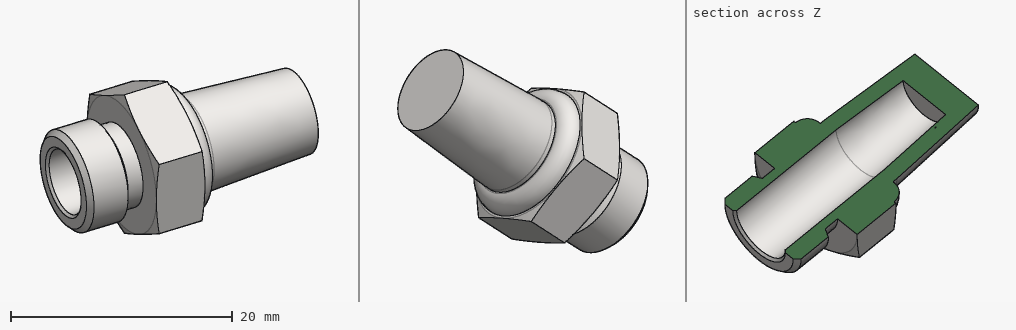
import cadquery as cq
import math

thread_end = 4.0
groove_start = 4.46
hex_start = 6.0
hex_end = 11.0
collar_end = 12.5
taper_start = 12.95
total_length = 24.0

thread_diameter = 9.7
thread_chamfer = 0.5
neck_diameter = 8.05
hex_across_flats = 13.0
hex_chamfer_angle = 16.0
collar_diameter = 12.58
spigot_diameter = 9.3
spigot_tip_diameter = 8.1

bore_diameter = 6.17
bore_mouth_diameter = 6.67
bore_depth = 21.12
bore_tip_diameter = 5.35


def revolve_profile(points):
    """Revolve a closed (radius, y) outline around the Y axis."""
    return cq.Workplane("XY").polyline(points).close().revolve(360, (0, 0, 0), (0, 1, 0))


def make_thread_and_neck():
    thread_radius = thread_diameter / 2
    neck_radius = neck_diameter / 2
    return revolve_profile([
        (0, 0),
        (thread_radius - thread_chamfer, 0),
        (thread_radius, thread_chamfer),
        (thread_radius, thread_end),
        (neck_radius, groove_start),
        (neck_radius, hex_start),
        (0, hex_start),
    ])


def make_hex():
    """Hexagon with corners on +Z and -Z, both ends turned down conically."""
    flat_radius = hex_across_flats / 2
    side_count = 6
    corner_step = 2 * math.pi / side_count
    corner_radius = flat_radius / math.cos(corner_step / 2)
    corners = [
        (corner_radius * math.sin(i * corner_step), corner_radius * math.cos(i * corner_step))
        for i in range(side_count)
    ]
    prism = cq.Workplane("XZ", origin=(0, hex_start, 0)).polyline(corners).close()
    prism = prism.extrude(hex_start - hex_end)
    drop = (corner_radius - flat_radius) * math.tan(math.radians(hex_chamfer_angle))
    envelope = revolve_profile([
        (0, hex_start),
        (flat_radius, hex_start),
        (corner_radius, hex_start + drop),
        (corner_radius, hex_end - drop),
        (flat_radius, hex_end),
        (0, hex_end),
    ])
    return prism.intersect(envelope)


def make_collar():
    """Collar whose outer wall is a quarter round over its full height."""
    radius = collar_diameter / 2
    rounding = collar_end - hex_end
    diagonal = rounding * math.sqrt(0.5)
    outline = (
        cq.Workplane("XY")
        .moveTo(0, hex_end)
        .lineTo(radius, hex_end)
        .threePointArc((radius - rounding + diagonal, hex_end + diagonal), (radius - rounding, collar_end))
        .lineTo(0, collar_end)
        .close()
    )
    return outline.revolve(360, (0, 0, 0), (0, 1, 0))


def make_spigot():
    return revolve_profile([
        (0, collar_end),
        (spigot_diameter / 2, collar_end),
        (spigot_diameter / 2, taper_start),
        (spigot_tip_diameter / 2, total_length),
        (0, total_length),
    ])


def make_bore():
    """Blind bore: chamfered mouth, straight run, then a taper inside the spigot."""
    mouth_depth = (bore_mouth_diameter - bore_diameter) / 2
    return revolve_profile([
        (0, 0),
        (bore_mouth_diameter / 2, 0),
        (bore_diameter / 2, mouth_depth),
        (bore_diameter / 2, taper_start),
        (bore_tip_diameter / 2, bore_depth),
        (0, bore_depth),
    ])


result = make_thread_and_neck().union(make_hex()).union(make_collar()).union(make_spigot())
result = result.cut(make_bore())